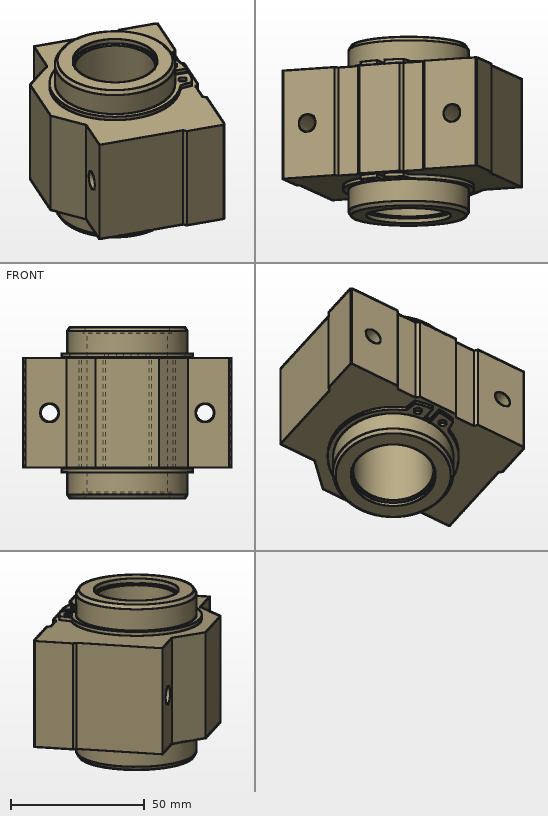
import cadquery as cq
import math


width = 78.0
height = 41.0
back_y = 30.0
front_y = -29.5
shoulder_y = -19.1
nose_half_width = 11.9
nose_root_half_width = 22.6
side_step = 1.1
side_step_y = 15.0
corner_chamfer = 0.5
notch_depth = 1.3
notch_inner = 8.0
notch_outer = 18.1
notch_slope = 1.1

mount_spacing = 58.0
mount_diameter = 7.0
mount_neck_diameter = 6.6

bearing_length = 64.0
bearing_diameter = 45.0
bore_diameter = 30.0
lip_diameter = 31.6
lip_depth = 1.9
recess_diameter = 33.2
recess_depth = 2.4
end_chamfer_radial = 1.0
end_chamfer_length = 1.55
groove_diameter = 43.0
groove_width = 1.9
groove_outer_z = 22.2

clip_thickness = 1.5
clip_outer_radius = 24.5
lug_radius = 28.8
lug_tip_x = 8.6
lug_root_x = 9.5
lug_root_y = 21.85
lug_root_fillet = 1.55
lug_gap = 2.9
lug_hole_diameter = 3.0
lug_hole_x = 5.5
lug_hole_y = 24.8


def make_housing():
    half = width / 2
    relieved_half = half - side_step
    right_side = [
        (nose_half_width, front_y),
        (nose_root_half_width, shoulder_y),
        (relieved_half, shoulder_y),
        (relieved_half, side_step_y - side_step),
        (half, side_step_y),
        (half, back_y - corner_chamfer),
        (half - corner_chamfer, back_y),
        (notch_outer, back_y),
        (notch_outer - notch_slope, back_y - notch_depth),
        (notch_inner + notch_slope, back_y - notch_depth),
        (notch_inner, back_y),
    ]
    left_side = [(-x, y) for x, y in reversed(right_side)]
    block = (
        cq.Workplane("XY")
        .polyline(right_side + left_side)
        .close()
        .extrude(height / 2, both=True)
    )
    bearing_seat = cq.Workplane("XY").circle(bearing_diameter / 2).extrude(height / 2, both=True)
    return block.cut(bearing_seat).cut(mounting_holes())


def mounting_holes():
    centers = [(-mount_spacing / 2, 0), (mount_spacing / 2, 0)]
    hole_middle_y = (shoulder_y + back_y) / 2
    necks = (
        cq.Workplane("XZ", origin=(0, back_y, 0))
        .pushPoints(centers)
        .circle(mount_neck_diameter / 2)
        .extrude(back_y - shoulder_y)
    )
    front_halves = (
        cq.Workplane("XZ", origin=(0, hole_middle_y, 0))
        .pushPoints(centers)
        .circle(mount_diameter / 2)
        .extrude(hole_middle_y - shoulder_y)
    )
    return necks.union(front_halves)


def make_bearing():
    """Revolve the sleeve's half section, given as (radius, z) points."""
    end_z = bearing_length / 2
    outer = bearing_diameter / 2
    upper_half = [
        (outer, groove_outer_z - groove_width),
        (groove_diameter / 2, groove_outer_z - groove_width),
        (groove_diameter / 2, groove_outer_z),
        (outer, groove_outer_z),
        (outer, end_z - end_chamfer_length),
        (outer - end_chamfer_radial, end_z),
        (lip_diameter / 2, end_z),
        (lip_diameter / 2, end_z - lip_depth),
        (recess_diameter / 2, end_z - lip_depth),
        (recess_diameter / 2, end_z - recess_depth),
        (bore_diameter / 2, end_z - recess_depth),
    ]
    lower_half = [(r, -z) for r, z in reversed(upper_half)]
    return (
        cq.Workplane("XZ")
        .polyline(upper_half + lower_half)
        .close()
        .revolve(360, (0, 0), (0, 1))
    )


def make_clip(bottom_z):
    """Split ring with two eared lugs on its +Y side."""
    base = cq.Workplane("XY", origin=(0, 0, bottom_z))
    lug_tip_y = math.sqrt(lug_radius**2 - lug_tip_x**2)
    lugs = (
        base.moveTo(-lug_root_x, lug_root_y)
        .lineTo(-lug_tip_x, lug_tip_y)
        .threePointArc((0, lug_radius), (lug_tip_x, lug_tip_y))
        .lineTo(lug_root_x, lug_root_y)
        .close()
        .extrude(clip_thickness)
    )
    lug_root_corners = cq.selectors.BoxSelector(
        (-lug_root_x - 0.8, lug_root_y, bottom_z - 0.8),
        (lug_root_x + 0.8, clip_outer_radius, bottom_z + clip_thickness + 0.8),
    )
    blank = base.circle(clip_outer_radius).extrude(clip_thickness).union(lugs)
    blank = blank.edges("|Z").edges(lug_root_corners).fillet(lug_root_fillet)
    ring_hole = base.circle(groove_diameter / 2).extrude(clip_thickness)
    gap = base.center(0, lug_radius / 2).rect(lug_gap, lug_radius).extrude(clip_thickness)
    lug_holes = (
        base.pushPoints([(-lug_hole_x, lug_hole_y), (lug_hole_x, lug_hole_y)])
        .circle(lug_hole_diameter / 2)
        .extrude(clip_thickness)
    )
    return blank.cut(ring_hole).cut(gap).cut(lug_holes)


housing = make_housing()
bearing = make_bearing()

clip_bottoms = [groove_outer_z - clip_thickness, -groove_outer_z]
clips = [make_clip(bottom_z) for bottom_z in clip_bottoms]

result = cq.Compound.makeCompound([housing.val(), bearing.val(), *[clip.val() for clip in clips]])